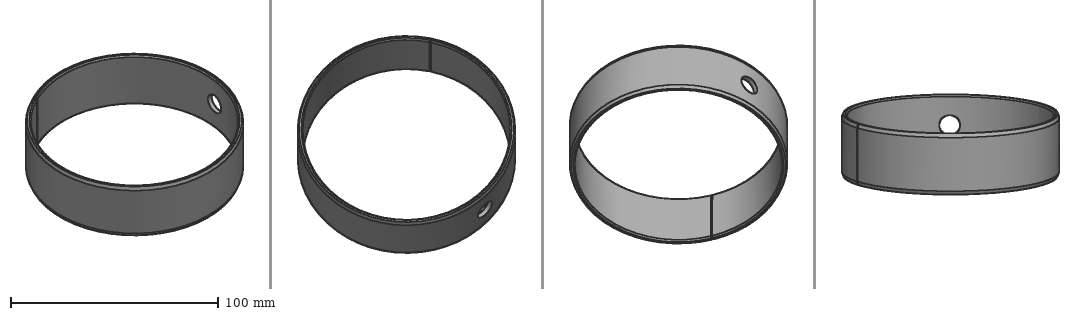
import cadquery as cq

outer_diameter = 105.0
wall = 2.5
height = 30.0
outer_radius = outer_diameter / 2
inner_radius = outer_radius - wall

outer_chamfer_height = 1.9
outer_chamfer_depth = 0.7
inner_chamfer_height = 0.8
inner_chamfer_depth = 0.7

split_width = 0.8
split_offset = split_width / 2

hole_diameter = 10.0
hole_angle = 59.0


def ring_body():
    """Revolve the chamfered wall section about Z, centred on the origin."""
    half_height = height / 2
    section = (
        cq.Workplane("XZ")
        .moveTo(inner_radius, 0)
        .lineTo(outer_radius, 0)
        .lineTo(outer_radius, half_height - outer_chamfer_height)
        .lineTo(outer_radius - outer_chamfer_depth, half_height)
        .lineTo(inner_radius + inner_chamfer_depth, half_height)
        .lineTo(inner_radius, half_height - inner_chamfer_height)
        .close()
    )
    upper_half = section.revolve(360, (0, 0, 0), (0, 1, 0))
    return upper_half.union(upper_half.mirror("XY"), clean=True)


def split_cutter():
    """Thin slab that opens the ring on its -X side."""
    return (
        cq.Workplane("XY")
        .box(outer_diameter, split_width, 2 * height)
        .translate((-outer_radius, split_offset, 0))
    )


def hole_cutter():
    """Cylinder running outward from the axis, turned to the hole angle."""
    return (
        cq.Workplane("YZ")
        .circle(hole_diameter / 2)
        .extrude(outer_diameter)
        .rotate((0, 0, 0), (0, 0, 1), hole_angle)
    )


result = ring_body().cut(split_cutter()).cut(hole_cutter())